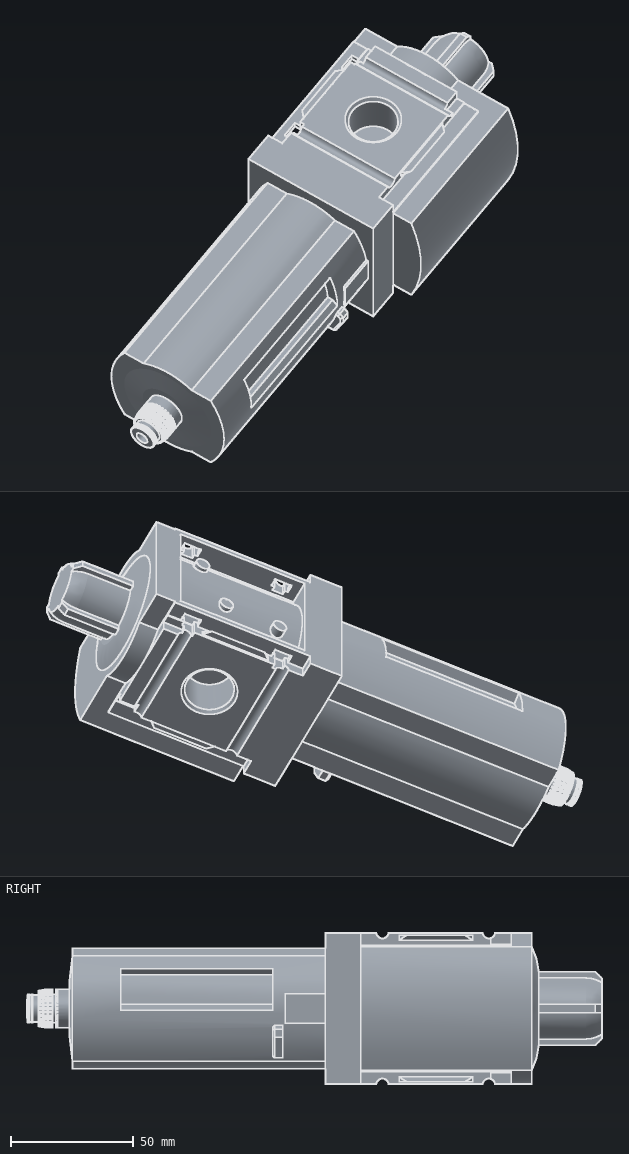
import cadquery as cq
import math


TOTAL_LENGTH = 235.4
KNOB_END_Y = 113.2
DRAIN_END_Y = KNOB_END_Y - TOTAL_LENGTH

HOUSING_SIZE = 62.0
HALF_HOUSING = HOUSING_SIZE / 2
HOUSING_LENGTH = 84.5
COVER_HALF_HEIGHT = 25.2
COVER_FLAT_X = 40.0
COVER_APEX_X = 75.8 - HALF_HOUSING
COVER_START_Y = 14.4
SLAB_THICKNESS = 8.5
SLAB_START_Y = HOUSING_LENGTH - SLAB_THICKNESS

PAD_HALF_WIDTH = 24.0
PAD_NARROW_HALF_WIDTH = 20.2
PAD_NARROW_LENGTH = 8.5
SHELF_HALF_HEIGHT = 26.0
CORNER_HALF_HEIGHT = 26.4
PORT_Y = (COVER_START_Y + SLAB_START_Y) / 2
PORT_DIAMETER = 20.2
PORT_MOUTH_DIAMETER = 23.0
PORT_CHAMFER = 1.5
PORT_DEPTH = 18.8
GROOVE_CENTERS_Y = (23.3, 66.8)
GROOVE_WIDTH = 5.0
GROOVE_DEPTH = 2.24
NOTCH_OUTER_X = 27.5
NOTCH_INNER_X = 22.1
NOTCH_LENGTH = 7.5
NOTCH_NECK_LENGTH = 4.7
NOTCH_CENTERS_Y = (25.0, 66.1)
TAB_REACH = 3.0
TAB_BASE_LENGTH = 30.1
TAB_TOP_Z = 30.0
TAB_BOTTOM_Z = 28.0

RECESS_START_Y = 17.0
RECESS_END_Y = 73.5
RECESS_HALF_HEIGHT = 23.3
CORE_APEX_X = 28.7
CORE_EDGE_X = 20.5
CORE_HALF_HEIGHT = 21.2
PIN_DIAMETER = 6.0
PINS = ((62.5, 10.8, 29.7), (51.3, -8.7, 28.7), (27.5, -11.0, 29.7))

KNOB_DIAMETER = 30.1
KNOB_CORE_DIAMETER = 25.2
KNOB_TOP_DIAMETER = 21.2
KNOB_CROWN_HEIGHT = 6.5
KNOB_RIB_WIDTH = 3.3
KNOB_RIB_CHAMFER = 2.8
DOME_RADIUS = COVER_HALF_HEIGHT
DOME_HEIGHT = 2.8
DOME_MIDDLE_RADIUS = 19.5
DOME_MIDDLE_HEIGHT = 2.1

BOWL_LENGTH = 103.5
BOWL_APEX_X = 28.0
BOWL_CORNER_X = 21.5
BOWL_FLAT_Z = 21.7
BOWL_LOBE_RADIUS = 24.7
BOWL_LOBE_X = math.sqrt(BOWL_LOBE_RADIUS**2 - BOWL_FLAT_Z**2)
END_CONE_DIAMETER = 43.0
END_CONE_TOP_DIAMETER = 23.0
END_CONE_HEIGHT = 1.2
SIGHT_START_Y = -21.7
SIGHT_LENGTH = 62.1
SIGHT_TOP_Z = 16.2
SIGHT_BOTTOM_Z = -0.7
SIGHT_DEPTH = 4.7
SIGHT_FLARE = 2.4
SLIDE_REACH_X = 28.5
SLIDE_HALF_HEIGHT = 6.1
SLIDE_LENGTH = 16.5
LATCH_START_Y = -17.5
LATCH_LENGTH = 4.2
LATCH_OUTLINE = ((21.2, -20.2), (26.5, -20.2), (30.4, -11.8), (30.4, -8.5), (28.7, -6.8), (26.0, -6.8))
LATCH_CHAMFER = 1.0

STUB_DIAMETER = 15.8
STUB_END_Y = -110.5
NECK_DIAMETER = 11.8
COLLAR_START_Y = -111.5
COLLAR_TAPER_Y = -114.5
COLLAR_END_Y = -117.5
COLLAR_END_DIAMETER = 14.5
NOSE_NECK_DIAMETER = 11.0
RIM_DIAMETER = 11.5
RIM_STARTS_Y = (-119.8, -121.2)
RIM_WIDTH = 0.6
NOSE_TIP_HEIGHT = 0.2
DRAIN_MOUTH_DIAMETER = 6.4
DRAIN_BORE_DIAMETER = 5.5
DRAIN_BORE_DEPTH = 7.0
KNURL_COUNT = 32
KNURL_WIDTH = 0.6
KNURL_DEPTH = 1.2
KNURL_RINGS_Y = (-113.5, -115.3)
KNURL_RING_DEPTH = 0.35
KNURL_RING_WIDTH = 0.35
STUB_KNURL_LENGTH = 1.0


def box(x_range, y_range, z_range):
    """Box between the given limits."""
    low, high = zip(x_range, y_range, z_range)
    low, high = zip(*(sorted(pair) for pair in zip(low, high)))
    size = [b - a for a, b in zip(low, high)]
    return cq.Workplane("XY").box(*size, centered=False).translate(low)


def section_at(y):
    """Workplane across the unit at y: local x is X, local y is Z, extrusion goes to -Y."""
    return cq.Workplane("XZ", origin=(0, y, 0))


def disc(diameter, y_start, y_end):
    """Cylinder on the unit's axis."""
    return section_at(max(y_start, y_end)).circle(diameter / 2).extrude(abs(y_end - y_start))


def on_both_faces(shape):
    """The shape together with its mirror image on the -Z side."""
    return shape.union(shape.mirror("XY"))


def cover():
    """Slab at the knob end and curved cover on the +X side, as one L shape."""
    slab = box((-HALF_HOUSING, COVER_FLAT_X), (SLAB_START_Y, HOUSING_LENGTH),
               (-COVER_HALF_HEIGHT, COVER_HALF_HEIGHT))
    curved = (
        section_at(HOUSING_LENGTH)
        .moveTo(0, -COVER_HALF_HEIGHT)
        .lineTo(COVER_FLAT_X, -COVER_HALF_HEIGHT)
        .threePointArc((COVER_APEX_X, 0), (COVER_FLAT_X, COVER_HALF_HEIGHT))
        .lineTo(0, COVER_HALF_HEIGHT)
        .close()
        .extrude(HOUSING_LENGTH - COVER_START_Y)
    )
    return slab.union(curved)


def slab_arches():
    """Arched crown on the slab, as wide as the knob."""
    arch = (
        section_at(HOUSING_LENGTH)
        .moveTo(-KNOB_DIAMETER / 2, COVER_HALF_HEIGHT)
        .threePointArc((0, HALF_HOUSING), (KNOB_DIAMETER / 2, COVER_HALF_HEIGHT))
        .close()
        .extrude(SLAB_THICKNESS)
    )
    return on_both_faces(arch)


def housing_block():
    """Full-size collar by the bowl, and the lower body that carries the pads."""
    collar = box((-HALF_HOUSING, HALF_HOUSING), (0, COVER_START_Y), (-HALF_HOUSING, HALF_HOUSING))
    body = box((-HALF_HOUSING, HALF_HOUSING), (COVER_START_Y, SLAB_START_Y),
               (-SHELF_HALF_HEIGHT, SHELF_HALF_HEIGHT))
    return collar.union(body)


def pad():
    """Port pad on the +Z face, narrowed beside the slab, with low corners left at its sides."""
    narrow_start_y = SLAB_START_Y - PAD_NARROW_LENGTH
    wide = box((-PAD_HALF_WIDTH, PAD_HALF_WIDTH), (COVER_START_Y, narrow_start_y), (0, HALF_HOUSING))
    narrow = box((-PAD_NARROW_HALF_WIDTH, PAD_NARROW_HALF_WIDTH), (narrow_start_y, SLAB_START_Y),
                 (0, HALF_HOUSING))
    corners = box((-PAD_HALF_WIDTH, PAD_HALF_WIDTH), (narrow_start_y, SLAB_START_Y),
                  (0, CORNER_HALF_HEIGHT))
    return wide.union(narrow).union(corners)


def pad_tab():
    """Tab with slanted ends and a slanted underside on the -X side of the pad."""
    half_base = TAB_BASE_LENGTH / 2
    half_tip = half_base - TAB_REACH
    tip_x = -PAD_HALF_WIDTH - TAB_REACH
    plan = (
        cq.Workplane("XY", origin=(0, PORT_Y, TAB_BOTTOM_Z))
        .polyline([(-PAD_HALF_WIDTH, -half_base), (tip_x, -half_tip), (tip_x, half_tip),
                   (-PAD_HALF_WIDTH, half_base)])
        .close()
        .extrude(TAB_TOP_Z - TAB_BOTTOM_Z)
    )
    sloped = (
        section_at(PORT_Y + half_base)
        .polyline([(-PAD_HALF_WIDTH, TAB_BOTTOM_Z), (-PAD_HALF_WIDTH, TAB_TOP_Z), (tip_x, TAB_TOP_Z)])
        .close()
        .extrude(TAB_BASE_LENGTH)
    )
    return plan.intersect(sloped)


def groove(center_y):
    """Round-bottomed groove across the pad."""
    return (
        cq.Workplane("YZ", origin=(-PAD_HALF_WIDTH, center_y, HALF_HOUSING))
        .moveTo(-GROOVE_WIDTH / 2, 0)
        .threePointArc((0, -GROOVE_DEPTH), (GROOVE_WIDTH / 2, 0))
        .close()
        .extrude(2 * PAD_HALF_WIDTH)
    )


def notch(center_y):
    """T-shaped notch at the -X end of a groove, open down into the side recess."""
    half_mouth = NOTCH_LENGTH / 2
    half_neck = NOTCH_NECK_LENGTH / 2
    heights = (RECESS_HALF_HEIGHT, HALF_HOUSING)
    mouth = box((-NOTCH_OUTER_X, -PAD_HALF_WIDTH), (center_y - half_mouth, center_y + half_mouth), heights)
    neck = box((-PAD_HALF_WIDTH, -NOTCH_INNER_X), (center_y - half_neck, center_y + half_neck), heights)
    return mouth.union(neck)


def port():
    """Blind port with a chamfered mouth."""
    hole = cq.Workplane("XY", origin=(0, PORT_Y, HALF_HOUSING)).circle(PORT_DIAMETER / 2).extrude(-PORT_DEPTH)
    mouth = cq.Workplane("XY").add(cq.Solid.makeCone(
        PORT_DIAMETER / 2, PORT_MOUTH_DIAMETER / 2, PORT_CHAMFER,
        pnt=cq.Vector(0, PORT_Y, HALF_HOUSING - PORT_CHAMFER)))
    return hole.union(mouth)


def side_recess():
    """Recess on the -X side around a rounded core."""
    length = RECESS_END_Y - RECESS_START_Y
    pocket = box((-HALF_HOUSING, -CORE_EDGE_X), (RECESS_START_Y, RECESS_END_Y),
                 (-RECESS_HALF_HEIGHT, RECESS_HALF_HEIGHT))
    core = (
        section_at(RECESS_END_Y)
        .moveTo(-CORE_EDGE_X, -CORE_HALF_HEIGHT)
        .threePointArc((-CORE_APEX_X, 0), (-CORE_EDGE_X, CORE_HALF_HEIGHT))
        .close()
        .extrude(length)
    )
    return pocket.cut(core)


def recess_pins():
    """Short round pins standing on the core in the side recess."""
    pins = cq.Workplane("XY")
    for y, z, reach in PINS:
        pin = (
            cq.Workplane("YZ", origin=(-reach, y, z))
            .circle(PIN_DIAMETER / 2)
            .extrude(reach - CORE_EDGE_X)
        )
        pins = pins.union(pin)
    return pins


def knob():
    """Domed flange and four-ribbed knob."""
    flange_y = HOUSING_LENGTH + DOME_HEIGHT
    crown_y = KNOB_END_Y - KNOB_CROWN_HEIGHT
    core_radius = KNOB_CORE_DIAMETER / 2
    top_radius = KNOB_TOP_DIAMETER / 2
    turned = (
        cq.Workplane("XY")
        .moveTo(0, HOUSING_LENGTH)
        .lineTo(DOME_RADIUS, HOUSING_LENGTH)
        .threePointArc((DOME_MIDDLE_RADIUS, HOUSING_LENGTH + DOME_MIDDLE_HEIGHT),
                       (KNOB_DIAMETER / 2, flange_y))
        .lineTo(core_radius, flange_y)
        .lineTo(core_radius, crown_y)
        .tangentArcPoint((top_radius, KNOB_END_Y), relative=False)
        .lineTo(0, KNOB_END_Y)
        .close()
        .revolve(360, (0, 0, 0), (0, 1, 0))
    )
    half_knob = KNOB_DIAMETER / 2
    rib_bar = (
        cq.Workplane("XY", origin=(0, 0, -KNOB_RIB_WIDTH / 2))
        .polyline([(-half_knob, flange_y), (half_knob, flange_y),
                   (half_knob, KNOB_END_Y - KNOB_RIB_CHAMFER),
                   (half_knob - KNOB_RIB_CHAMFER, KNOB_END_Y),
                   (KNOB_RIB_CHAMFER - half_knob, KNOB_END_Y),
                   (-half_knob, KNOB_END_Y - KNOB_RIB_CHAMFER)])
        .close()
        .extrude(KNOB_RIB_WIDTH)
    )
    cross_bar = rib_bar.rotate((0, 0, 0), (0, 1, 0), 90)
    return turned.union(rib_bar).union(cross_bar)


def make_housing():
    tabs = pad_tab()
    tabs = tabs.union(tabs.mirror("YZ"))
    body = housing_block().union(cover()).union(slab_arches())
    body = body.union(on_both_faces(pad().union(tabs)))
    body = body.cut(on_both_faces(port())).cut(side_recess())
    for center_y in GROOVE_CENTERS_Y:
        body = body.cut(on_both_faces(groove(center_y)))
    for center_y in NOTCH_CENTERS_Y:
        body = body.cut(on_both_faces(notch(center_y)))
    return body.union(recess_pins()).union(knob())


def bowl_shell():
    """Bowl with round sides, flats above and below, and a round lobe on each flat."""
    return (
        section_at(0)
        .moveTo(-BOWL_CORNER_X, -BOWL_FLAT_Z)
        .threePointArc((-BOWL_APEX_X, 0), (-BOWL_CORNER_X, BOWL_FLAT_Z))
        .lineTo(-BOWL_LOBE_X, BOWL_FLAT_Z)
        .threePointArc((0, BOWL_LOBE_RADIUS), (BOWL_LOBE_X, BOWL_FLAT_Z))
        .lineTo(BOWL_CORNER_X, BOWL_FLAT_Z)
        .threePointArc((BOWL_APEX_X, 0), (BOWL_CORNER_X, -BOWL_FLAT_Z))
        .lineTo(BOWL_LOBE_X, -BOWL_FLAT_Z)
        .threePointArc((0, -BOWL_LOBE_RADIUS), (-BOWL_LOBE_X, -BOWL_FLAT_Z))
        .close()
        .extrude(BOWL_LENGTH)
    )


def side_radius():
    """Radius of the bowl's round sides."""
    sag = BOWL_APEX_X - BOWL_CORNER_X
    return (BOWL_FLAT_Z**2 + sag**2) / (2 * sag)


def side_x(z, depth=0.0):
    """X of the bowl's -X side at height z, moved inwards by depth."""
    radius = side_radius()
    center_x = radius - BOWL_APEX_X
    return center_x - math.sqrt((radius - depth)**2 - z**2)


def floor_point(z):
    """Point at height z on the floor of the sight recess."""
    return (side_x(z, SIGHT_DEPTH), z)


def sight_recess():
    """Shallow recess on the -X side, with a curved floor, a flared top wall and a ledge below."""
    ledge_z = SIGHT_BOTTOM_Z + SIGHT_FLARE
    ledge_edge = (-BOWL_APEX_X + SIGHT_FLARE, ledge_z)
    floor_bottom = floor_point(ledge_z)
    floor_middle = floor_point(SIGHT_TOP_Z / 2)
    floor_top = floor_point(SIGHT_TOP_Z - SIGHT_FLARE)
    top = (side_x(SIGHT_TOP_Z), SIGHT_TOP_Z)
    bottom = (side_x(SIGHT_BOTTOM_Z), SIGHT_BOTTOM_Z)
    return (
        section_at(SIGHT_START_Y)
        .polyline([floor_top, top, (-BOWL_APEX_X, SIGHT_TOP_Z), (-HALF_HOUSING, SIGHT_BOTTOM_Z), bottom,
                   ledge_edge, floor_bottom])
        .threePointArc(floor_middle, floor_top)
        .close()
        .extrude(SIGHT_LENGTH)
    )


def slide():
    """Low flat strip on the +X side, next to the housing."""
    return box((0, SLIDE_REACH_X), (-SLIDE_LENGTH, 0), (-SLIDE_HALF_HEIGHT, SLIDE_HALF_HEIGHT))


def latch():
    """Thumb latch at the lower +X side."""
    return (
        section_at(LATCH_START_Y)
        .polyline(LATCH_OUTLINE)
        .close()
        .extrude(LATCH_LENGTH)
        .faces("<Y")
        .chamfer(LATCH_CHAMFER)
    )


def end_cone():
    """Flat cone on the free end of the bowl."""
    return cq.Workplane("XY").add(cq.Solid.makeCone(
        END_CONE_DIAMETER / 2, END_CONE_TOP_DIAMETER / 2, END_CONE_HEIGHT,
        pnt=cq.Vector(0, -BOWL_LENGTH, 0), dir=cq.Vector(0, -1, 0)))


def knurl_cuts():
    """Axial slots around the collar and the end of the stub."""
    cuts = []
    slot = box((STUB_DIAMETER / 2 - KNURL_DEPTH, STUB_DIAMETER / 2 + KNURL_DEPTH),
               (COLLAR_END_Y, STUB_END_Y + STUB_KNURL_LENGTH), (-KNURL_WIDTH / 2, KNURL_WIDTH / 2)).val()
    for index in range(KNURL_COUNT):
        cuts.append(slot.rotate(cq.Vector(0, 0, 0), cq.Vector(0, 1, 0), 360 * index / KNURL_COUNT))
    return cq.Workplane("XY").add(cq.Compound.makeCompound(cuts))


def drain():
    """Knurled drain connection with a stepped nose and a bore."""
    nose_end_y = DRAIN_END_Y + NOSE_TIP_HEIGHT
    collar_taper = cq.Workplane("XY").add(cq.Solid.makeCone(
        STUB_DIAMETER / 2, COLLAR_END_DIAMETER / 2, COLLAR_TAPER_Y - COLLAR_END_Y,
        pnt=cq.Vector(0, COLLAR_TAPER_Y, 0), dir=cq.Vector(0, -1, 0)))
    body = disc(STUB_DIAMETER, -BOWL_LENGTH, STUB_END_Y)
    body = body.union(disc(STUB_DIAMETER, COLLAR_START_Y, COLLAR_TAPER_Y)).union(collar_taper)
    for y in KNURL_RINGS_Y:
        ring = disc(STUB_DIAMETER, y, y - KNURL_RING_WIDTH)
        body = body.cut(ring.cut(disc(STUB_DIAMETER - 2 * KNURL_RING_DEPTH, y, y - KNURL_RING_WIDTH)))
    body = body.cut(knurl_cuts())
    body = body.union(disc(NECK_DIAMETER, -BOWL_LENGTH, COLLAR_END_Y))
    body = body.union(disc(NOSE_NECK_DIAMETER, COLLAR_END_Y, nose_end_y))
    for y in RIM_STARTS_Y:
        body = body.union(disc(RIM_DIAMETER, y, y - RIM_WIDTH))
    tip = cq.Workplane("XY").add(cq.Solid.makeCone(
        NOSE_NECK_DIAMETER / 2, DRAIN_MOUTH_DIAMETER / 2, NOSE_TIP_HEIGHT,
        pnt=cq.Vector(0, nose_end_y, 0), dir=cq.Vector(0, -1, 0)))
    bore = disc(DRAIN_BORE_DIAMETER, DRAIN_END_Y, DRAIN_END_Y + DRAIN_BORE_DEPTH)
    return body.union(tip).cut(bore)


def make_bowl():
    recess = sight_recess()
    body = bowl_shell().union(slide()).cut(recess).cut(recess.mirror("YZ"))
    return body.union(latch()).union(end_cone()).union(drain())


housing = make_housing()
bowl = make_bowl()
result = cq.Compound.makeCompound([housing.val(), bowl.val()])